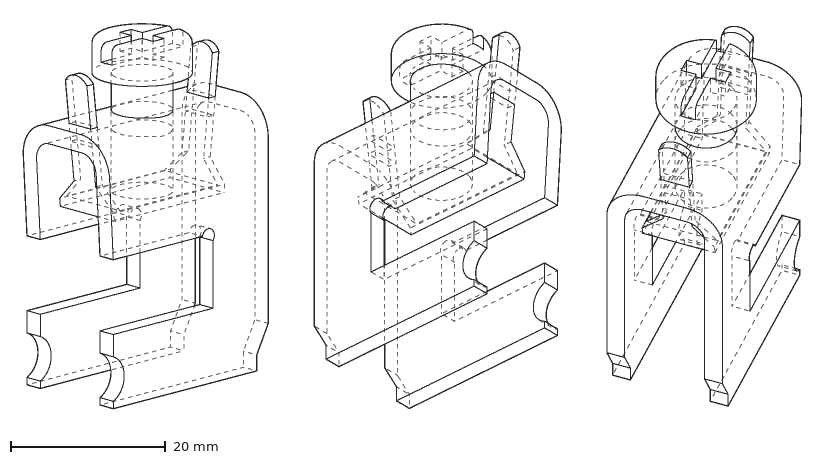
import cadquery as cq
import math


CLAMP_WIDTH = 16.0
CLAMP_HEIGHT = 36.0
CLAMP_WALL = 2.5
BEND_RADIUS = 5.0
REAR_Y = 15.0
LEG_FRONT_Y = -13.0
TOP_FRONT_Y = -14.0
RAIL_SLOT_END_Y = 5.0
RAIL_SLOT_BOTTOM = 10.0
RAIL_SLOT_TOP = 20.0
RELIEF_RADIUS = 1.1
RELIEF_Y = RAIL_SLOT_END_Y - 0.87
RELIEF_Z = RAIL_SLOT_TOP - 0.28
HEEL_DEPTH = 2.05
HEEL_BOTTOM = 2.15
HEEL_TOP = 6.0
NOTCH_BOTTOM = 1.0
NOTCH_TOP = 7.0
NOTCH_DEPTH = 2.0

TOTAL_HEIGHT = 46.0
HEAD_DIAMETER = 13.0
HEAD_HEIGHT = 5.0
HEAD_FILLET = 1.0
SHANK_DIAMETER = 8.0
DRIVE_SLOT_WIDTH = 2.0
DRIVE_SLOT_DEPTH = 2.55
DRIVE_CROSS_LENGTH = 6.1
HEAD_BOTTOM = TOTAL_HEIGHT - HEAD_HEIGHT

CLIP_BOTTOM = 23.95
CLIP_TOP = 43.0
CLIP_SHEET = 1.2
CLIP_TOP_HALF_SPAN = 12.05
TAB_LEAN_ANGLE = 6.5
TAB_HALF_WIDTH = 2.0
TAB_CROWN = 1.05
PLATE_HALF_WIDTH = 5.0
PLATE_EDGE_HEIGHT = 1.1
PLATE_TOP = CLIP_BOTTOM + CLIP_SHEET


def make_screw():
    """Cheese-head screw resting on the clip plate, with a cross drive."""
    head = cq.Workplane("XY").workplane(offset=HEAD_BOTTOM).circle(HEAD_DIAMETER / 2).extrude(HEAD_HEIGHT)
    head = head.faces(">Z").edges().fillet(HEAD_FILLET)
    shank = cq.Workplane("XY").workplane(offset=PLATE_TOP).circle(SHANK_DIAMETER / 2)
    shank = shank.extrude(HEAD_BOTTOM - PLATE_TOP)
    drive_plane = cq.Workplane("XY").workplane(offset=TOTAL_HEIGHT)
    slot = drive_plane.rect(DRIVE_SLOT_WIDTH, HEAD_DIAMETER).extrude(-DRIVE_SLOT_DEPTH)
    cross = drive_plane.rect(DRIVE_CROSS_LENGTH, DRIVE_SLOT_WIDTH).extrude(-DRIVE_SLOT_DEPTH)
    return head.union(shank).cut(slot).cut(cross)


def make_clip():
    """Bent strip: its U-shaped side profile trimmed to its front outline."""
    lean = math.tan(math.radians(TAB_LEAN_ANGLE))
    bottom_half_span = CLIP_TOP_HALF_SPAN - lean * (CLIP_TOP - CLIP_BOTTOM)
    inner_top_half_span = CLIP_TOP_HALF_SPAN - CLIP_SHEET
    inner_bottom_half_span = bottom_half_span + lean * CLIP_SHEET - CLIP_SHEET
    strip = (
        cq.Workplane("YZ")
        .moveTo(-bottom_half_span, CLIP_BOTTOM)
        .lineTo(bottom_half_span, CLIP_BOTTOM)
        .lineTo(CLIP_TOP_HALF_SPAN, CLIP_TOP)
        .lineTo(inner_top_half_span, CLIP_TOP)
        .lineTo(inner_bottom_half_span, PLATE_TOP)
        .lineTo(-inner_bottom_half_span, PLATE_TOP)
        .lineTo(-inner_top_half_span, CLIP_TOP)
        .lineTo(-CLIP_TOP_HALF_SPAN, CLIP_TOP)
        .close()
        .extrude(PLATE_HALF_WIDTH, both=True)
    )
    edge_top = CLIP_BOTTOM + PLATE_EDGE_HEIGHT
    flare_top = edge_top + PLATE_HALF_WIDTH - TAB_HALF_WIDTH
    shoulder = CLIP_TOP - TAB_CROWN
    outline = (
        cq.Workplane("XZ")
        .moveTo(-PLATE_HALF_WIDTH, CLIP_BOTTOM)
        .lineTo(PLATE_HALF_WIDTH, CLIP_BOTTOM)
        .lineTo(PLATE_HALF_WIDTH, edge_top)
        .lineTo(TAB_HALF_WIDTH, flare_top)
        .lineTo(TAB_HALF_WIDTH, shoulder)
        .threePointArc((0, CLIP_TOP), (-TAB_HALF_WIDTH, shoulder))
        .lineTo(-TAB_HALF_WIDTH, flare_top)
        .lineTo(-PLATE_HALF_WIDTH, edge_top)
        .close()
        .extrude(CLIP_TOP_HALF_SPAN, both=True)
    )
    return strip.intersect(outline)


def make_clamp_channel():
    """Inverted U channel with concentric inner and outer bends."""
    length = REAR_Y - TOP_FRONT_Y
    start = cq.Workplane("XZ", origin=(0, REAR_Y, 0))
    outer = start.rect(CLAMP_WIDTH, 2 * CLAMP_HEIGHT).extrude(length).edges("|Y").fillet(BEND_RADIUS)
    inner_width = CLAMP_WIDTH - 2 * CLAMP_WALL
    inner_height = CLAMP_HEIGHT - CLAMP_WALL
    inner = start.rect(inner_width, 2 * inner_height).extrude(length)
    inner = inner.edges("|Y").fillet(BEND_RADIUS - CLAMP_WALL)
    return outer.cut(inner)


def make_clamp_side():
    """Side outline of the clamp, extruded across its full width."""
    side = (
        cq.Workplane("YZ")
        .moveTo(REAR_Y, CLAMP_HEIGHT)
        .lineTo(REAR_Y, HEEL_TOP)
        .lineTo(REAR_Y - HEEL_DEPTH, HEEL_BOTTOM)
        .lineTo(REAR_Y - HEEL_DEPTH, 0)
        .lineTo(LEG_FRONT_Y, 0)
        .lineTo(LEG_FRONT_Y, NOTCH_BOTTOM)
        .threePointArc(
            (LEG_FRONT_Y + NOTCH_DEPTH, (NOTCH_BOTTOM + NOTCH_TOP) / 2),
            (LEG_FRONT_Y, NOTCH_TOP),
        )
        .lineTo(LEG_FRONT_Y, RAIL_SLOT_BOTTOM)
        .lineTo(RAIL_SLOT_END_Y, RAIL_SLOT_BOTTOM)
        .lineTo(RAIL_SLOT_END_Y, RAIL_SLOT_TOP)
        .lineTo(LEG_FRONT_Y, RAIL_SLOT_TOP)
        .lineTo(TOP_FRONT_Y, CLAMP_HEIGHT)
        .close()
        .extrude(CLAMP_WIDTH / 2, both=True)
    )
    relief = cq.Workplane("YZ").center(RELIEF_Y, RELIEF_Z).circle(RELIEF_RADIUS)
    return side.cut(relief.extrude(CLAMP_WIDTH / 2, both=True))


def make_clamp(screw, clip):
    """Clamp with openings that match the screw shank and the clip tabs."""
    return make_clamp_channel().intersect(make_clamp_side()).cut(screw).cut(clip)


screw = make_screw()
clip = make_clip()
clamp = make_clamp(screw, clip)

result = cq.Compound.makeCompound([clamp.val(), screw.val(), clip.val()])